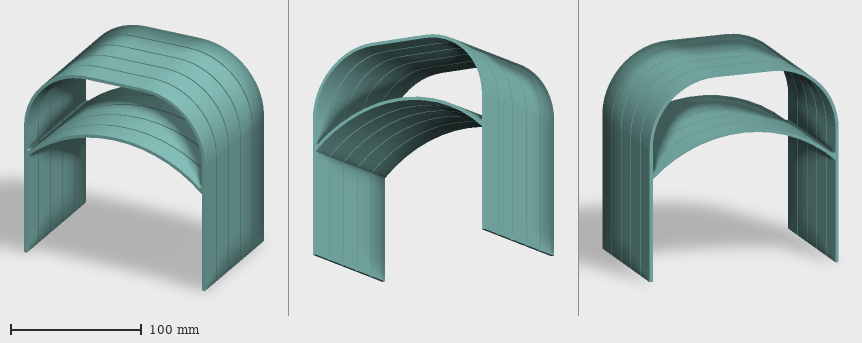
import cadquery as cq
import math

width = 155.0
height = 160.0
wall = 2.5
corner_radius = 53.8

arch_top = 113.5
arch_radius = 112.2
arch_fillet = 1.3
arch_center_z = arch_top - arch_radius
arch_inner_radius = arch_radius - wall

hoop_count = 5
hoop_depth = 19.0
hoop_gap = 1.3
hoop_pitch = hoop_depth + hoop_gap
row_depth = (hoop_count - 1) * hoop_pitch + hoop_depth


def doorway(inset):
    """Return a solid round-cornered doorway, its sides and top moved inward by inset."""
    half_width = width / 2 - inset
    top = height - inset
    radius = corner_radius - inset
    half_flat = half_width - radius
    spring = top - radius
    diagonal = radius * math.sqrt(0.5)
    return (
        cq.Workplane("XZ")
        .moveTo(-half_width, 0)
        .lineTo(-half_width, spring)
        .threePointArc((-half_flat - diagonal, spring + diagonal), (-half_flat, top))
        .lineTo(half_flat, top)
        .threePointArc((half_flat + diagonal, spring + diagonal), (half_width, spring))
        .lineTo(half_width, 0)
        .close()
        .extrude(-hoop_depth)
    )


def arc_height(radius, x):
    """Return the height at x of an arc about the arch centre."""
    return arch_center_z + math.sqrt(radius**2 - x**2)


def arch_band():
    """Return the arched crosspiece, reaching to the middle of each leg's thickness."""
    half_span = (width - wall) / 2
    outer_end_z = arc_height(arch_radius, half_span)
    inner_end_z = arc_height(arch_inner_radius, half_span)
    return (
        cq.Workplane("XZ")
        .moveTo(-half_span, outer_end_z)
        .threePointArc((0, arch_top), (half_span, outer_end_z))
        .lineTo(half_span, inner_end_z)
        .threePointArc((0, arch_top - wall), (-half_span, inner_end_z))
        .close()
        .extrude(-hoop_depth)
    )


def round_arch_corners(body):
    """Fillet the two inside corners where the top of the arch meets the legs."""
    leg_inner_x = width / 2 - wall
    corner_z = arc_height(arch_radius, leg_inner_x)
    for x in (-leg_inner_x, leg_inner_x):
        corner = cq.NearestToPointSelector((x, hoop_depth / 2, corner_z))
        body = body.edges(corner).fillet(arch_fillet)
    return body


def make_hoop(front_y):
    """Build one hoop whose front face lies at front_y."""
    frame = doorway(0).cut(doorway(wall))
    hoop = round_arch_corners(frame.union(arch_band()))
    return hoop.translate((0, front_y, 0))


hoops = [make_hoop(-row_depth / 2 + index * hoop_pitch) for index in range(hoop_count)]

result = cq.Compound.makeCompound([hoop.solids().val() for hoop in hoops])